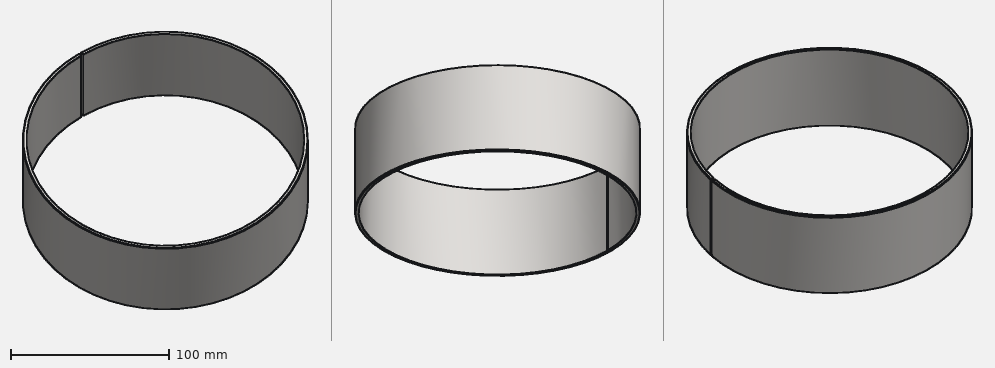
import cadquery as cq

OUTER_DIAMETER = 180.0
WALL_THICKNESS = 2.5
HEIGHT = 60.0
OUTER_CHAMFER = 0.5
INNER_CHAMFER = 0.2
SLIT_ANGLE = 1.0

OUTER_RADIUS = OUTER_DIAMETER / 2
INNER_RADIUS = OUTER_RADIUS - WALL_THICKNESS
SWEEP_ANGLE = 360.0 - SLIT_ANGLE


def wall_section():
    """Cross-section of the wall on the -X side, with all four corners chamfered."""
    outer_rim_x = -(OUTER_RADIUS - OUTER_CHAMFER)
    inner_rim_x = -(INNER_RADIUS + INNER_CHAMFER)
    corners = [
        (-OUTER_RADIUS, OUTER_CHAMFER),
        (-OUTER_RADIUS, HEIGHT - OUTER_CHAMFER),
        (outer_rim_x, HEIGHT),
        (inner_rim_x, HEIGHT),
        (-INNER_RADIUS, HEIGHT - INNER_CHAMFER),
        (-INNER_RADIUS, INNER_CHAMFER),
        (inner_rim_x, 0),
        (outer_rim_x, 0),
    ]
    return cq.Workplane("XZ").polyline(corners).close()


def split_ring():
    """Ring swept about Z from the -X axis, leaving a narrow slit on the +Y side of that axis."""
    axis_start = (0, 0)
    axis_end = (0, 1)
    return wall_section().revolve(SWEEP_ANGLE, axis_start, axis_end)


result = split_ring()